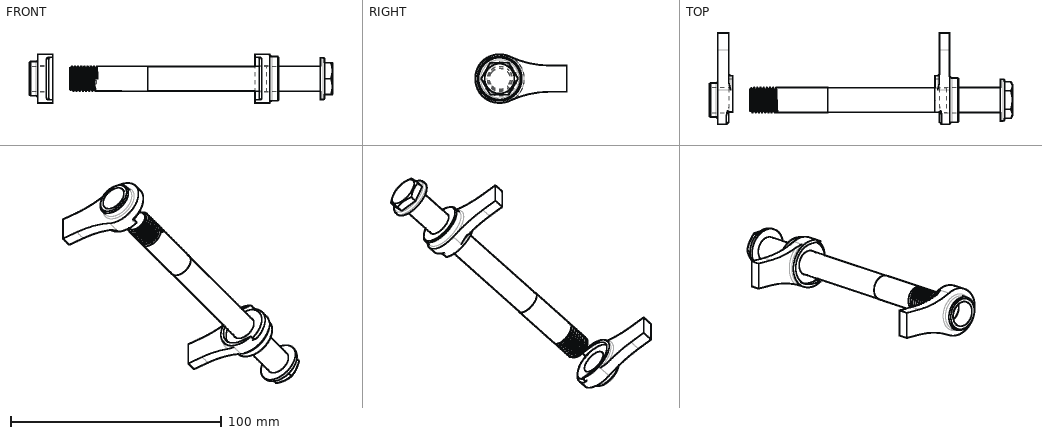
import cadquery as cq
import math

overall_length = 144.5
overall_depth = 43.6

shaft_diameter = 12.0
shaft_radius = shaft_diameter / 2
axle_start = 19.2
relief_start = 56.4
relief_end = 112.7
relief_depth = 0.12
flange_start = 138.6
flange_thickness = 2.0
flange_radius = 10.0
flange_rounding = 0.9
hex_across_flats = 15.2
hex_end_radius = 7.1
hex_bevel_angle = 30.0

thread_pitch = shaft_diameter / 8
thread_turns = 9.75
thread_end = 32.7
thread_depth = 0.613 * thread_pitch
thread_root_flat = thread_pitch / 4
thread_flank_angle = 30.0
thread_tip_chamfer = 1.08
cutter_overshoot = 0.07
cut_tolerance = 0.0001
seam_angle = 37.0

hub_radius = 23.3 / 2
arm_reach = overall_depth - hub_radius
arm_half_width = 12.5 / 2
arm_straight_length = 8.1

recess_radius = 10.1
entry_chamfer = 1.2
rim_fillet = 0.9

nut_plate_x = 4.0
nut_plate_thickness = 5.3
nut_rim_height = 1.9
nut_collar_radius = 16.3 / 2
nut_collar_fillet = 0.8
nut_collar_chamfer = 0.65

guide_plate_x = 114.5
guide_plate_thickness = 4.9
guide_rim_height = 2.2
guide_collar_length = 4.3
guide_collar_radius = 21.2 / 2
guide_collar_fillet = 0.94
guide_collar_chamfer = 0.6

arc_bulge = 1 - math.sqrt(0.5)


def box_between(x_start, x_end, y_start, y_end, half_height):
    """Box between the given X and Y limits, centred on Z = 0."""
    return (
        cq.Workplane("XY", origin=(x_start, y_start, -half_height))
        .box(x_end - x_start, y_end - y_start, 2 * half_height, centered=False)
    )


def arm_plate(thickness):
    """Arm outline from its straight end through concave flanks to where they touch the hub."""
    flank_y = arm_reach - arm_straight_length
    flank_radius = (flank_y**2 + arm_half_width**2 - hub_radius**2) / (2 * (hub_radius - arm_half_width))
    flank_z = arm_half_width + flank_radius
    centre_distance = hub_radius + flank_radius
    tangent_y = flank_y * hub_radius / centre_distance
    tangent_z = flank_z * hub_radius / centre_distance
    middle_angle = (math.atan2(tangent_z - flank_z, tangent_y - flank_y) - math.pi / 2) / 2
    middle_y = flank_y + flank_radius * math.cos(middle_angle)
    middle_z = flank_z + flank_radius * math.sin(middle_angle)
    return (
        cq.Workplane("YZ")
        .moveTo(arm_reach, -arm_half_width)
        .lineTo(arm_reach, arm_half_width)
        .lineTo(flank_y, arm_half_width)
        .threePointArc((middle_y, middle_z), (tangent_y, tangent_z))
        .lineTo(tangent_y, -tangent_z)
        .threePointArc((middle_y, -middle_z), (flank_y, -arm_half_width))
        .close()
        .extrude(thickness)
    )


def turned(profile):
    """Solid of revolution about the X axis of a closed profile drawn in the XY plane."""
    return profile.close().revolve(360, (0, 0, 0), (1, 0, 0))


def hub_turning(height, collar_length, collar_radius, collar_fillet, collar_chamfer):
    """Turned hub with a chamfered collar joined to it by a concave fillet."""
    return turned(
        cq.Workplane("XY")
        .moveTo(-collar_length, 0)
        .lineTo(-collar_length, collar_radius - collar_chamfer)
        .lineTo(-collar_length + collar_chamfer, collar_radius)
        .lineTo(-collar_fillet, collar_radius)
        .threePointArc(
            (-collar_fillet * arc_bulge, collar_radius + collar_fillet * arc_bulge),
            (0, collar_radius + collar_fillet),
        )
        .lineTo(0, hub_radius)
        .lineTo(height, hub_radius)
        .lineTo(height, 0)
    )


def rim_fillet_ring(plate):
    """Ring that fills the corner between the rim and the arm with a concave fillet."""
    return turned(
        cq.Workplane("XY")
        .moveTo(plate - rim_fillet, recess_radius)
        .lineTo(plate - rim_fillet, hub_radius + rim_fillet)
        .lineTo(plate, hub_radius + rim_fillet)
        .threePointArc(
            (plate + rim_fillet * arc_bulge, hub_radius + rim_fillet * arc_bulge),
            (plate + rim_fillet, hub_radius),
        )
        .lineTo(plate + rim_fillet, recess_radius)
    )


def recess_tool(plate, rim):
    """Slot with a round end concentric with the hub, cut down to the plate face."""
    slot = box_between(plate, plate + rim, -2 * hub_radius, 0, recess_radius)
    round_end = cq.Workplane("YZ", origin=(plate, 0, 0)).circle(recess_radius).extrude(rim)
    return slot.union(round_end)


def entry_chamfer_tool(plate):
    """Bevel on the open hub edge, fading out toward the two rim tips."""
    bevel = turned(
        cq.Workplane("XY")
        .moveTo(plate - entry_chamfer, hub_radius)
        .lineTo(plate, hub_radius - entry_chamfer)
        .lineTo(plate, hub_radius)
    )
    opening = (
        box_between(plate - entry_chamfer, plate + entry_chamfer, -hub_radius, 0, recess_radius)
        .edges("|Y and <X")
        .fillet(entry_chamfer)
    )
    return bevel.intersect(opening)


def make_lever(plate, rim, collar_length, collar_radius, collar_fillet, collar_chamfer):
    """Lever with its collar toward -X and the collar side of the plate at X = 0."""
    hub = hub_turning(plate + rim, collar_length, collar_radius, collar_fillet, collar_chamfer)
    arm_corner = rim_fillet_ring(plate).intersect(arm_plate(plate + rim))
    lever = arm_plate(plate).union(arm_corner).union(hub)
    bore = (
        cq.Workplane("YZ", origin=(-collar_length, 0, 0))
        .circle(shaft_radius)
        .extrude(collar_length + plate + rim)
    )
    return lever.cut(recess_tool(plate, rim)).cut(entry_chamfer_tool(plate)).cut(bore)


def thread_groove():
    """Helical groove that starts beyond the axle tip and ends on the -Y side at thread_end."""
    flank_slope = math.tan(math.radians(thread_flank_angle))
    root_radius = shaft_radius - thread_depth
    outer_radius = shaft_radius + cutter_overshoot
    root_half = thread_root_flat / 2
    crest_half = root_half + thread_depth * flank_slope
    outer_half = crest_half + cutter_overshoot * flank_slope
    groove_length = thread_turns * thread_pitch
    helix = cq.Workplane(cq.Wire.makeHelix(thread_pitch, groove_length, root_radius))
    groove = (
        cq.Workplane("XZ")
        .moveTo(root_radius, -root_half)
        .lineTo(outer_radius, -outer_half)
        .lineTo(outer_radius, outer_half)
        .lineTo(root_radius, root_half)
        .close()
        .sweep(helix, isFrenet=True)
    )
    groove_start = thread_end - crest_half - groove_length
    return groove.rotate((0, 0, 0), (0, 1, 0), 90).translate((groove_start, 0, 0))


def hex_head(start):
    """Hexagon with corners on +Y and -Y and a conical bevel on its outer end."""
    corner_radius = hex_across_flats / 2 / math.cos(math.pi / 6)
    length = overall_length - start
    bevel_length = (corner_radius - hex_end_radius) * math.tan(math.radians(hex_bevel_angle))
    hexagon = cq.Workplane("YZ", origin=(start, 0, 0)).polygon(6, 2 * corner_radius).extrude(length)
    bevel_limit = turned(
        cq.Workplane("XY")
        .moveTo(start, 0)
        .lineTo(start, corner_radius)
        .lineTo(overall_length - bevel_length, corner_radius)
        .lineTo(overall_length, hex_end_radius)
        .lineTo(overall_length, 0)
    )
    return hexagon.intersect(bevel_limit)


def make_axle():
    """Threaded shaft with a slightly relieved middle and a flanged hexagon head."""
    relief_radius = shaft_radius - relief_depth
    flange_end = flange_start + flange_thickness
    shaft = turned(
        cq.Workplane("XY")
        .moveTo(axle_start, 0)
        .lineTo(axle_start, shaft_radius - thread_tip_chamfer)
        .lineTo(axle_start + thread_tip_chamfer, shaft_radius)
        .lineTo(relief_start, shaft_radius)
        .lineTo(relief_start, relief_radius)
        .lineTo(relief_end, relief_radius)
        .lineTo(relief_end, shaft_radius)
        .lineTo(flange_start, shaft_radius)
        .lineTo(flange_start, 0)
    )
    flange = (
        cq.Workplane("YZ", origin=(flange_start, 0, 0))
        .circle(flange_radius)
        .extrude(flange_thickness)
        .edges(">X")
        .fillet(flange_rounding)
    )
    shaft = shaft.rotate((0, 0, 0), (1, 0, 0), seam_angle)
    threaded_shaft = shaft.cut(thread_groove(), tol=cut_tolerance)
    return threaded_shaft.union(flange).union(hex_head(flange_end))


axle = make_axle()

nut_lever = make_lever(
    nut_plate_thickness,
    nut_rim_height,
    nut_plate_x,
    nut_collar_radius,
    nut_collar_fillet,
    nut_collar_chamfer,
).translate((nut_plate_x, 0, 0))

guide_lever = make_lever(
    guide_plate_thickness,
    guide_rim_height,
    guide_collar_length,
    guide_collar_radius,
    guide_collar_fillet,
    guide_collar_chamfer,
).mirror("YZ").translate((guide_plate_x, 0, 0))

result = cq.Compound.makeCompound([axle.solids().val(), nut_lever.solids().val(), guide_lever.solids().val()])